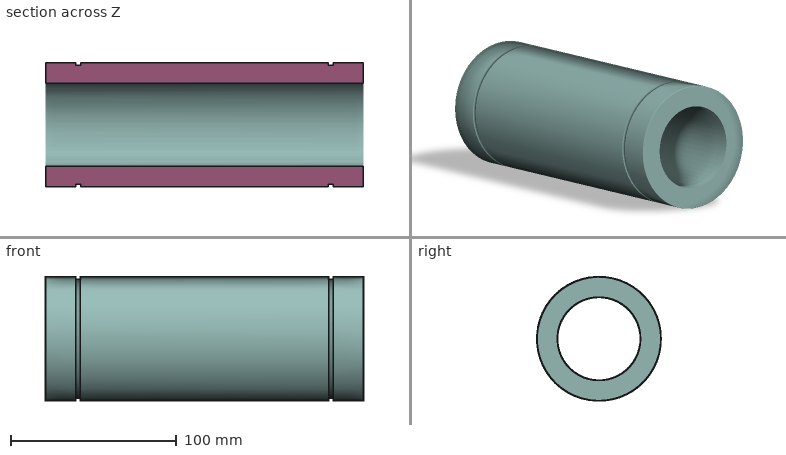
import cadquery as cq

length = 192.0
outer_diameter = 75.0
bore_diameter = 50.0
rim_fillet_radius = 0.25

groove_span = 155.2
groove_width = 2.65
groove_diameter = 72.0


def cylinder(diameter):
    """Full-length cylinder on the X axis, centred on the origin."""
    return cq.Workplane("YZ").circle(diameter / 2).extrude(length / 2, both=True)


def groove_ring(start_x):
    """Ring of material removed by one groove, running along +X from start_x."""
    return (
        cq.Workplane("YZ")
        .workplane(offset=start_x)
        .circle(outer_diameter / 2)
        .circle(groove_diameter / 2)
        .extrude(groove_width)
    )


sleeve = cylinder(outer_diameter).faces("<X or >X").edges().fillet(rim_fillet_radius)
sleeve = sleeve.cut(cylinder(bore_diameter))

groove_starts = (-groove_span / 2, groove_span / 2 - groove_width)
for groove_start in groove_starts:
    sleeve = sleeve.cut(groove_ring(groove_start))

result = sleeve